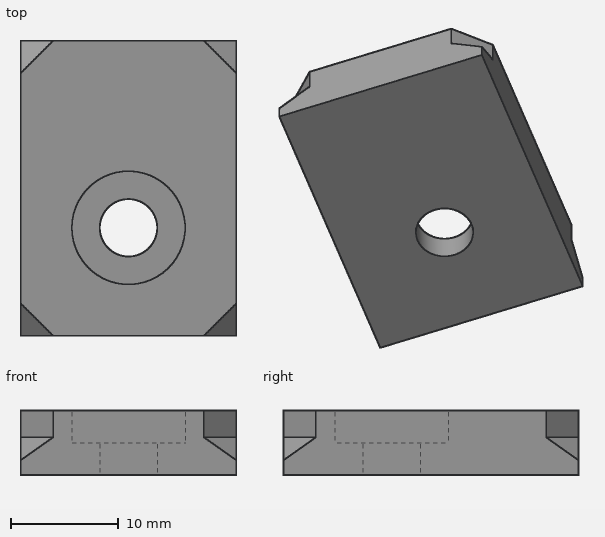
import cadquery as cq
import math

width = 20.0
length = 27.35
height = 6.0

notch_leg = 3.0
notch_wall_height = 2.5
notch_depth = notch_leg / math.sqrt(2)

hole_diameter = 5.3
counterbore_diameter = 10.5
counterbore_depth = 3.0
hole_to_front = 10.0


def corner_notch(x_side, y_side):
    """Cutter for the corner on the given sides (+1 or -1) of the block."""
    corner = cq.Plane(
        origin=(x_side * width / 2, y_side * length / 2, height),
        xDir=(x_side, y_side, 0),
        normal=(y_side, -x_side, 0),
    )
    profile = [
        (-notch_depth, 0),
        (-notch_depth, -notch_wall_height),
        (0, -(notch_wall_height + notch_depth)),
        (0, 0),
    ]
    return cq.Workplane(corner).polyline(profile).close().extrude(notch_leg, both=True)


result = cq.Workplane("XY").box(width, length, height, centered=(True, True, False))

for x_side in (-1, 1):
    for y_side in (-1, 1):
        result = result.cut(corner_notch(x_side, y_side))

result = (
    result.faces(">Z")
    .workplane(origin=(0, hole_to_front - length / 2, height))
    .cboreHole(hole_diameter, counterbore_diameter, counterbore_depth)
)